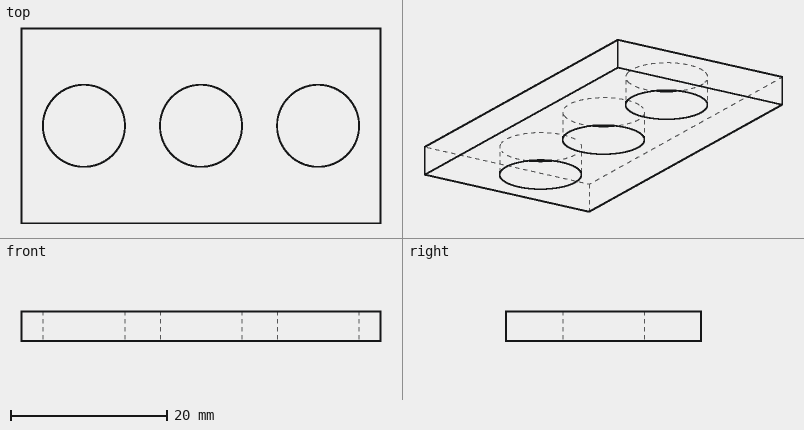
import cadquery as cq

length = 46.0
width = 25.0
thickness = 3.8

hole_diameter = 10.5
hole_count = 3
hole_pitch = 15.0

plate = cq.Workplane("XY").box(length, width, thickness)

result = (
    plate.faces(">Z")
    .workplane()
    .rarray(hole_pitch, 0.45, hole_count, 1)
    .hole(hole_diameter)
)